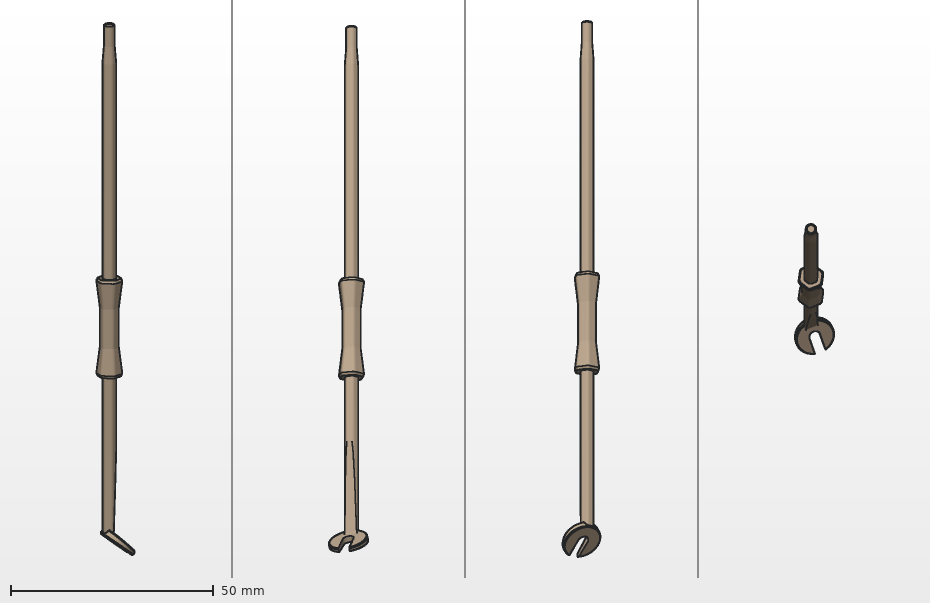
import cadquery as cq
import math

TOTAL_HEIGHT = 136.12
TOTAL_DEPTH = 9.08

ROD_FLATS = 3.25
ROD_ROUND = 0.9

TIP_FLATS = 2.65
TIP_ROUND = 1.05
TIP_CHAMFER = 0.35
TIP_START = 130.6
ROD_TOP = 126.2

GRIP_FLATS = 5.9
GRIP_ROUND = 1.0
GRIP_BOTTOM = 46.1
GRIP_TOP = 71.1
GRIP_CHAMFER_WIDTH = 0.3
GRIP_CHAMFER_HEIGHT = 0.7
WAIST_FLATS = 4.4
WAIST_ROUND = 1.0
WAIST_BOTTOM = 53.5
WAIST_TOP = 63.6

RELIEF_TOP = 30.0
RELIEF_BOTTOM = 8.0
RELIEF_DEPTH = 0.95

HEAD_DIAMETER = 9.79
HEAD_THICKNESS = 1.5
HEAD_TAPER = 5.0
HEAD_CHAMFER = 0.25
HEAD_TILT = 38.0
JAW_WIDTH = 2.8
JAW_DEPTH_PAST_CENTRE = 1.7

NECK_FILLET = 0.3
NECK_ZONE_HEIGHT = 3.0

HEAD_RADIUS = HEAD_DIAMETER / 2
TILT = math.radians(HEAD_TILT)
UPPER_TILT = math.radians(HEAD_TILT + HEAD_TAPER)
JAW_REACH = math.sqrt(HEAD_RADIUS**2 - (JAW_WIDTH / 2) ** 2)
LOWER_REACH = math.sqrt((HEAD_RADIUS - HEAD_CHAMFER) ** 2 - (JAW_WIDTH / 2) ** 2)
JAW_END_THICKNESS = HEAD_THICKNESS - JAW_REACH * math.tan(math.radians(HEAD_TAPER))
JAW_RIM = JAW_END_THICKNESS - HEAD_CHAMFER
HEAD_Y = TOTAL_DEPTH - GRIP_FLATS / 2 - JAW_REACH * math.cos(TILT) - JAW_RIM * math.sin(TILT)
HEAD_Z = LOWER_REACH * math.sin(TILT)


def polar(radius, degrees):
    angle = math.radians(degrees)
    return cq.Vector(radius * math.cos(angle), radius * math.sin(angle))


def hexagon_wire(flats, rounding, z):
    """Hexagon with rounded corners, one of them on the +X axis."""
    half_angle = 30
    centre_radius = (flats / 2 - rounding) / math.cos(math.radians(half_angle))
    lift = cq.Vector(0, 0, z)
    arcs = []
    for corner in range(6):
        direction = corner * 60
        centre = polar(centre_radius, direction) + lift
        start, middle, end = (
            centre + polar(rounding, direction + turn) for turn in (-half_angle, 0, half_angle)
        )
        arcs.append((start, middle, end))
    edges = []
    for index, (start, middle, end) in enumerate(arcs):
        next_start = arcs[(index + 1) % len(arcs)][0]
        edges.append(cq.Edge.makeThreePointArc(start, middle, end))
        edges.append(cq.Edge.makeLine(end, next_start))
    return cq.Wire.assembleEdges(edges)


def hexagon_body(sections):
    """Straight-sided body through (flats, rounding, z) sections, from bottom to top."""
    body = None
    for lower, upper in zip(sections, sections[1:]):
        piece = cq.Solid.makeLoft([hexagon_wire(*lower), hexagon_wire(*upper)], True)
        body = piece if body is None else body.fuse(piece)
    return cq.Workplane(obj=body)


def make_rod():
    tip_end_flats = TIP_FLATS - 2 * TIP_CHAMFER
    tip_end_round = TIP_ROUND - TIP_CHAMFER
    return hexagon_body(
        [
            (ROD_FLATS, ROD_ROUND, 0),
            (ROD_FLATS, ROD_ROUND, ROD_TOP),
            (TIP_FLATS, TIP_ROUND, TIP_START),
            (TIP_FLATS, TIP_ROUND, TOTAL_HEIGHT - TIP_CHAMFER),
            (tip_end_flats, tip_end_round, TOTAL_HEIGHT),
        ]
    )


def make_grip():
    end_flats = GRIP_FLATS - 2 * GRIP_CHAMFER_WIDTH
    return hexagon_body(
        [
            (end_flats, GRIP_ROUND, GRIP_BOTTOM),
            (GRIP_FLATS, GRIP_ROUND, GRIP_BOTTOM + GRIP_CHAMFER_HEIGHT),
            (WAIST_FLATS, WAIST_ROUND, WAIST_BOTTOM),
            (WAIST_FLATS, WAIST_ROUND, WAIST_TOP),
            (GRIP_FLATS, GRIP_ROUND, GRIP_TOP - GRIP_CHAMFER_HEIGHT),
            (end_flats, GRIP_ROUND, GRIP_TOP),
        ]
    )


def make_relief():
    """Wedge that thins the rod toward the head."""
    flat = ROD_FLATS / 2
    slope = RELIEF_DEPTH / (RELIEF_TOP - RELIEF_BOTTOM)
    profile = [
        (flat, RELIEF_TOP),
        (flat - RELIEF_TOP * slope, 0),
        (ROD_FLATS, 0),
        (ROD_FLATS, RELIEF_TOP),
    ]
    return cq.Workplane("YZ").polyline(profile).close().extrude(ROD_FLATS, both=True)


def lower_plane():
    """Lower face of the head: local X is the part's X, local Y points to the jaw opening."""
    return cq.Plane(
        origin=(0, HEAD_Y, HEAD_Z),
        xDir=(1, 0, 0),
        normal=(0, math.sin(TILT), math.cos(TILT)),
    )


def upper_plane():
    """Upper face of the head, steeper than the lower face so that the jaws thin out toward their ends."""
    return cq.Plane(
        origin=lower_plane().toWorldCoords((0, 0, HEAD_THICKNESS)),
        xDir=(1, 0, 0),
        normal=(0, math.sin(UPPER_TILT), math.cos(UPPER_TILT)),
    )


def make_head():
    disc = cq.Workplane(lower_plane()).circle(HEAD_RADIUS).extrude(2 * HEAD_THICKNESS)
    above = cq.Workplane(upper_plane()).circle(HEAD_DIAMETER).extrude(HEAD_DIAMETER)
    wedge = disc.cut(above)
    return wedge.edges().chamfer(HEAD_CHAMFER)


def make_jaw_opening():
    half_width = JAW_WIDTH / 2
    arc_start = half_width - JAW_DEPTH_PAST_CENTRE
    return (
        cq.Workplane(lower_plane())
        .moveTo(-half_width, HEAD_DIAMETER)
        .lineTo(-half_width, arc_start)
        .threePointArc((0, -JAW_DEPTH_PAST_CENTRE), (half_width, arc_start))
        .lineTo(half_width, HEAD_DIAMETER)
        .close()
        .extrude(2 * HEAD_THICKNESS, both=True)
    )


def below_head():
    """Everything under the lower face of the head."""
    size = 6 * HEAD_DIAMETER
    return cq.Workplane(lower_plane()).rect(size, size).extrude(-size)


def neck_zone():
    """Box around the joint of the rod and the upper side of the head, behind the rod's front flat."""
    joint_height = HEAD_Z + HEAD_Y * math.tan(TILT)
    front = -ROD_FLATS / 4
    return cq.selectors.BoxSelector(
        (-ROD_FLATS, front, joint_height),
        (ROD_FLATS, ROD_FLATS / 2, joint_height + NECK_ZONE_HEIGHT),
    )


rod = make_rod().cut(make_relief()).cut(below_head())
head = make_head().cut(make_jaw_opening())
shank = rod.union(make_grip())
result = shank.union(head).edges(neck_zone()).fillet(NECK_FILLET)